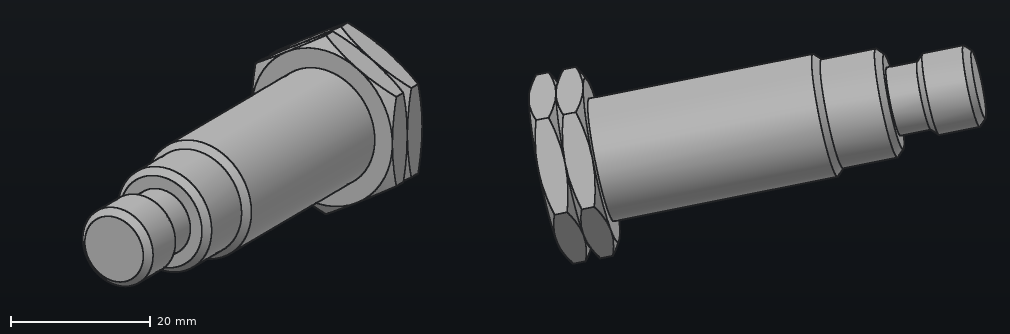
import cadquery as cq
import math

total_length = 63.5
across_flats = 24.0
nut_thickness = 4.0
nut_chamfer_angle = 30.0
body_diameter = 18.05
shoulder_diameter = 16.0
neck_diameter = 10.05
tip_diameter = 12.0
tip_length = 8.0
neck_length = 4.5
shoulder_length = 9.0
edge_chamfer = 1.0

neck_end = tip_length + neck_length
shoulder_end = neck_end + shoulder_length
nut_starts = [total_length - 2 * nut_thickness, total_length - nut_thickness]
across_corners = across_flats / math.cos(math.radians(30))


def make_shaft():
    """Revolve the stepped pin: tip, neck, shoulder and main body."""
    tip_radius = tip_diameter / 2
    neck_radius = neck_diameter / 2
    shoulder_radius = shoulder_diameter / 2
    body_radius = body_diameter / 2
    profile = [
        (0, 0),
        (tip_radius - edge_chamfer, 0),
        (tip_radius, edge_chamfer),
        (tip_radius, tip_length - edge_chamfer),
        (neck_radius, tip_length),
        (neck_radius, neck_end),
        (shoulder_radius - edge_chamfer, neck_end),
        (shoulder_radius, neck_end + edge_chamfer),
        (shoulder_radius, shoulder_end),
        (body_radius, shoulder_end + edge_chamfer),
        (body_radius, total_length),
        (0, total_length),
    ]
    return cq.Workplane("XY").polyline(profile).close().revolve(360, (0, 0), (0, 1))


def make_nut(start):
    """Hexagon with corners along Z, its corners chamfered conically on both faces."""
    hexagon = (
        cq.Workplane("XZ", origin=(0, start, 0))
        .transformed(rotate=(0, 0, 90))
        .polygon(6, across_corners)
        .extrude(-nut_thickness)
    )
    face_radius = across_flats / 2
    middle = nut_thickness / 2
    middle_radius = face_radius + middle / math.tan(math.radians(nut_chamfer_angle))
    double_cone = (
        cq.Workplane("XY")
        .polyline([
            (0, start),
            (face_radius, start),
            (middle_radius, start + middle),
            (face_radius, start + nut_thickness),
            (0, start + nut_thickness),
        ])
        .close()
        .revolve(360, (0, 0), (0, 1))
    )
    return hexagon.intersect(double_cone)


result = make_shaft()
for nut_start in nut_starts:
    result = result.union(make_nut(nut_start))